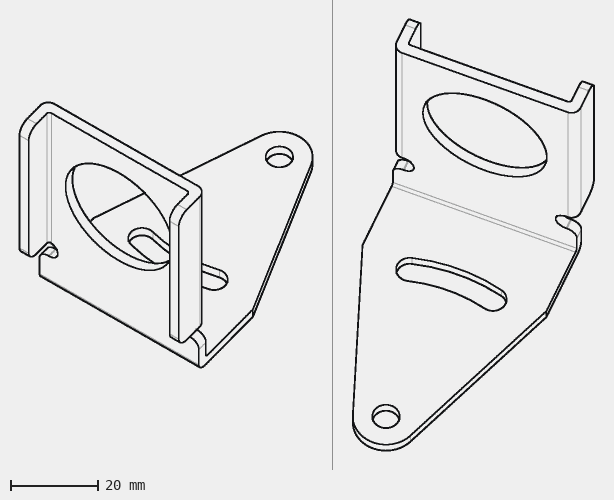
import cadquery as cq
import math

WIDTH = 45.7
LENGTH = 76.2
HEIGHT = 61.1
THICKNESS = 2.7
INNER_BEND = 0.7
OUTER_BEND = 2.3
HALF_WIDTH = WIDTH / 2

WALL_FRONT = 7.6
WALL_BACK = WALL_FRONT + THICKNESS
FLANGE_HEIGHT = 45.7
FLANGE_BOTTOM = HEIGHT - FLANGE_HEIGHT
FLANGE_CORNER = 3.05
WINDOW_DIAMETER = 30.8
WINDOW_Z = HEIGHT - FLANGE_HEIGHT / 2

RELIEF_RADIUS = 2.5
RELIEF_X = 20.1
RELIEF_Z = FLANGE_BOTTOM - RELIEF_RADIUS
SHOULDER_Z = RELIEF_Z - RELIEF_RADIUS
SHOULDER_RADIUS = RELIEF_RADIUS

TIP_RADIUS = 7.6
PIVOT_Y = LENGTH - TIP_RADIUS
PIVOT_DIAMETER = 6.25
TAPER_START_Y = 28.2
SLOT_PATH_RADIUS = 39.9
SLOT_WIDTH = 6.25
SLOT_HALF_ANGLE = math.radians(15)


def bent_base_and_wall():
    """L-shaped profile extruded across the full width, with both bend radii."""
    profile = (
        cq.Workplane("YZ", origin=(-HALF_WIDTH, 0, 0))
        .moveTo(WALL_FRONT, 0)
        .lineTo(LENGTH, 0)
        .lineTo(LENGTH, THICKNESS)
        .lineTo(WALL_BACK, THICKNESS)
        .lineTo(WALL_BACK, HEIGHT)
        .lineTo(WALL_FRONT, HEIGHT)
        .close()
        .extrude(WIDTH)
    )
    inner_edge = cq.selectors.NearestToPointSelector((0, WALL_BACK, THICKNESS))
    outer_edge = cq.selectors.NearestToPointSelector((0, WALL_FRONT, 0))
    return profile.edges(inner_edge).fillet(INNER_BEND).edges(outer_edge).fillet(OUTER_BEND)


def base_outline():
    """Plan outline whose tapered sides run tangent into the round tip."""
    rise = PIVOT_Y - TAPER_START_Y
    distance = math.hypot(HALF_WIDTH, rise)
    tangent_angle = math.acos(TIP_RADIUS / distance) - math.atan2(rise, HALF_WIDTH)
    tangent_x = TIP_RADIUS * math.cos(tangent_angle)
    tangent_y = PIVOT_Y + TIP_RADIUS * math.sin(tangent_angle)
    return (
        cq.Workplane("XY")
        .moveTo(-HALF_WIDTH, 0)
        .lineTo(HALF_WIDTH, 0)
        .lineTo(HALF_WIDTH, TAPER_START_Y)
        .lineTo(tangent_x, tangent_y)
        .threePointArc((0, LENGTH), (-tangent_x, tangent_y))
        .lineTo(-HALF_WIDTH, TAPER_START_Y)
        .close()
        .extrude(HEIGHT)
    )


def pivot_hole():
    return cq.Workplane("XY").center(0, PIVOT_Y).circle(PIVOT_DIAMETER / 2).extrude(THICKNESS)


def curved_slot():
    """Round-ended slot concentric with the pivot hole."""

    def polar(radius, angle):
        return (radius * math.sin(angle), PIVOT_Y - radius * math.cos(angle))

    half = SLOT_WIDTH / 2
    inner = SLOT_PATH_RADIUS - half
    outer = SLOT_PATH_RADIUS + half
    end_angle = SLOT_HALF_ANGLE
    cap_angle = end_angle + math.atan2(half, SLOT_PATH_RADIUS)
    cap_radius = math.hypot(SLOT_PATH_RADIUS, half)
    return (
        cq.Workplane("XY")
        .moveTo(*polar(inner, -end_angle))
        .threePointArc(polar(inner, 0), polar(inner, end_angle))
        .threePointArc(polar(cap_radius, cap_angle), polar(outer, end_angle))
        .threePointArc(polar(outer, 0), polar(outer, -end_angle))
        .threePointArc(polar(cap_radius, -cap_angle), polar(inner, -end_angle))
        .close()
        .extrude(THICKNESS)
    )


def flanged_channel():
    """U-shaped channel formed by the upper wall and both side flanges."""
    channel = (
        cq.Workplane("XY", origin=(0, 0, FLANGE_BOTTOM))
        .rect(WIDTH, 2 * WALL_BACK)
        .extrude(FLANGE_HEIGHT)
        .edges("|Z and >Y")
        .fillet(OUTER_BEND)
    )
    cavity = (
        cq.Workplane("XY", origin=(0, 0, FLANGE_BOTTOM))
        .rect(WIDTH - 2 * THICKNESS, 2 * WALL_FRONT)
        .extrude(FLANGE_HEIGHT)
        .edges("|Z and >Y")
        .fillet(INNER_BEND)
    )
    side_profile = (
        cq.Workplane("YZ", origin=(-HALF_WIDTH, 0, 0))
        .moveTo(0, FLANGE_BOTTOM)
        .rect(WALL_BACK, FLANGE_HEIGHT, centered=False)
        .extrude(WIDTH)
        .edges("|X and <Y")
        .fillet(FLANGE_CORNER)
    )
    return channel.cut(cavity).intersect(side_profile)


def wall_cutter(sketch):
    """Extrude a front-facing sketch through the wall thickness."""
    return sketch.extrude(-THICKNESS)


def wall_plane():
    return cq.Workplane("XZ", origin=(0, WALL_FRONT, 0))


def relief_notch(side):
    """Round relief opening to the side edge, above a rounded shoulder."""
    edge_x = side * HALF_WIDTH
    shoulder_x = HALF_WIDTH - SHOULDER_RADIUS
    arc_offset = SHOULDER_RADIUS * math.sqrt(0.5)
    arc_middle = (side * (shoulder_x + arc_offset), SHOULDER_Z - SHOULDER_RADIUS + arc_offset)
    return wall_cutter(
        wall_plane()
        .moveTo(edge_x, FLANGE_BOTTOM)
        .lineTo(side * RELIEF_X, FLANGE_BOTTOM)
        .threePointArc((side * (RELIEF_X - RELIEF_RADIUS), RELIEF_Z), (side * RELIEF_X, SHOULDER_Z))
        .lineTo(side * shoulder_x, SHOULDER_Z)
        .threePointArc(arc_middle, (edge_x, SHOULDER_Z - SHOULDER_RADIUS))
        .close()
    )


upper_wall = wall_cutter(
    wall_plane().center(0, FLANGE_BOTTOM + FLANGE_HEIGHT / 2).rect(WIDTH, FLANGE_HEIGHT)
)
window = wall_cutter(wall_plane().center(0, WINDOW_Z).circle(WINDOW_DIAMETER / 2))

bracket = bent_base_and_wall().intersect(base_outline())
bracket = bracket.cut(upper_wall).union(flanged_channel())
bracket = bracket.cut(window).cut(pivot_hole()).cut(curved_slot())
for side in (-1, 1):
    bracket = bracket.cut(relief_notch(side))

result = bracket